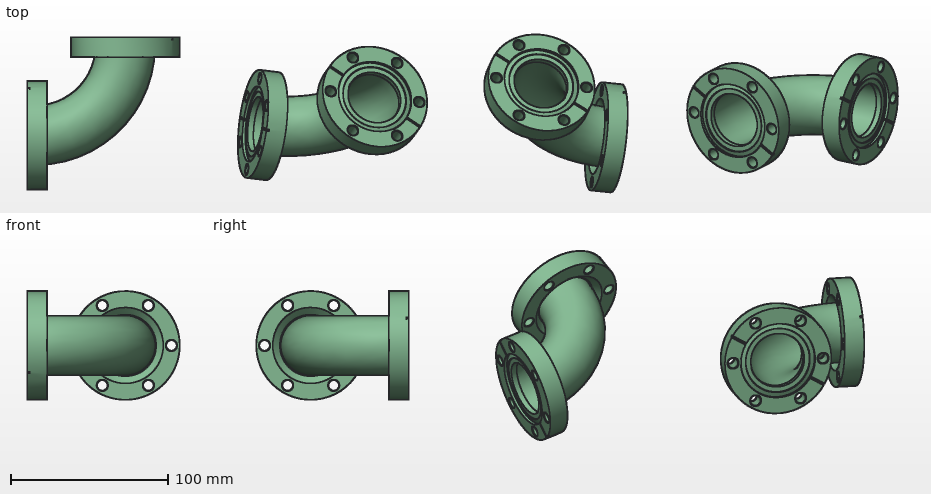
import cadquery as cq

longest_side = 97.1
flange_diameter = 69.35
flange_radius = flange_diameter / 2
face_distance = longest_side - flange_radius
flange_thickness = 12.7

bore_radius = 17.5
tube_radius = 19.0
bend_radius = 57.1
tube_start_depth = face_distance - bend_radius

hub_radius = 24.2
knife_radius = 21.0
knife_root_radius = 20.8
knife_depth = 0.9
hub_face_depth = 1.5
knife_foot_depth = 2.0

lip_radius = 19.6
flare_depth = hub_radius - lip_radius
lip_end_depth = flange_thickness - flare_depth
bolt_circle_radius = 29.3
bolt_count = 6
bolt_hole_radius = 3.3
bolt_mouth_radius = 3.7
bolt_mouth_depth = 0.4
groove_width = 1.1
groove_depth = 1.7
groove_angle = 30.0


def make_ring():
    """Rotatable bolt ring, with its face at Z = 0 and its material on the +Z side."""
    ring = (
        cq.Workplane("XZ")
        .moveTo(hub_radius, 0)
        .lineTo(flange_radius, 0)
        .lineTo(flange_radius, flange_thickness)
        .lineTo(hub_radius, flange_thickness)
        .lineTo(lip_radius, lip_end_depth)
        .lineTo(lip_radius, tube_start_depth)
        .lineTo(hub_radius, tube_start_depth)
        .close()
        .revolve(360, (0, 0, 0), (0, 1, 0))
    )
    return ring.cut(make_bolt_holes()).cut(make_leak_grooves()).solids()


def make_bolt_holes():
    """Cutters for the bolt holes, chamfered at both ends."""
    hole = (
        cq.Workplane("XZ")
        .moveTo(0, 0)
        .lineTo(bolt_mouth_radius, 0)
        .lineTo(bolt_hole_radius, bolt_mouth_depth)
        .lineTo(bolt_hole_radius, flange_thickness - bolt_mouth_depth)
        .lineTo(bolt_mouth_radius, flange_thickness)
        .lineTo(0, flange_thickness)
        .close()
        .revolve(360, (0, 0, 0), (0, 1, 0))
        .val()
    )
    return cq.Workplane("XY").polarArray(bolt_circle_radius, 0, 360, bolt_count).eachpoint(hole, True)


def make_leak_grooves():
    """Cutter for the two opposite leak-test grooves in the face, running from the recess to the rim."""
    return (
        cq.Workplane("XY")
        .rect(flange_diameter, groove_width)
        .extrude(groove_depth)
        .rotate((0, 0, 0), (0, 0, 1), groove_angle)
    )


def make_hub_blank():
    """Weld hub before its tube socket is cut, in the same position as the ring.

    Its neck passes through the ring's lip and ends in a 45 degree slope that continues the ring's flare.
    """
    neck_wall = lip_radius - bore_radius
    return (
        cq.Workplane("XZ")
        .moveTo(bore_radius, hub_face_depth)
        .lineTo(knife_root_radius, hub_face_depth)
        .lineTo(knife_radius, knife_depth)
        .lineTo(hub_radius, knife_foot_depth)
        .lineTo(hub_radius, tube_start_depth)
        .lineTo(lip_radius, tube_start_depth)
        .lineTo(lip_radius, lip_end_depth)
        .lineTo(bore_radius, lip_end_depth - neck_wall)
        .close()
        .revolve(360, (0, 0, 0), (0, 1, 0))
    )


def make_bend(radius):
    """Solid quarter-circle bend of the given section radius, running between the two flanges."""
    return (
        cq.Workplane("YZ", origin=(-bend_radius, 0, 0))
        .circle(radius)
        .revolve(90, (bend_radius, 0, 0), (bend_radius, 1, 0))
    )


def make_elbow():
    """Quarter-circle tube whose ends sit in the sockets of the two hubs."""
    return make_bend(tube_radius).cut(make_bend(bore_radius)).solids()


def at_left_end(body):
    """Move a flange body to the end whose face looks toward -X (local X, Y become Y, Z)."""
    seat = cq.Plane(origin=(-face_distance, 0, 0), xDir=(0, 1, 0), normal=(1, 0, 0))
    return cq.Workplane(obj=body.val().moved(cq.Location(seat)))


def at_back_end(body):
    """Move a flange body to the end whose face looks toward +Y, by a half turn of the left one."""
    return at_left_end(body).rotate((0, 0, 0), (-1, 1, 0), 180)


elbow = make_elbow()
ring = make_ring()
hub_blank = make_hub_blank()
tube_socket = make_bend(tube_radius)

flange_bodies = []
for place in (at_left_end, at_back_end):
    hub = place(hub_blank).cut(tube_socket).solids()
    flange_bodies.append(place(ring).val())
    flange_bodies.append(hub.val())

result = cq.Compound.makeCompound([elbow.val(), *flange_bodies])